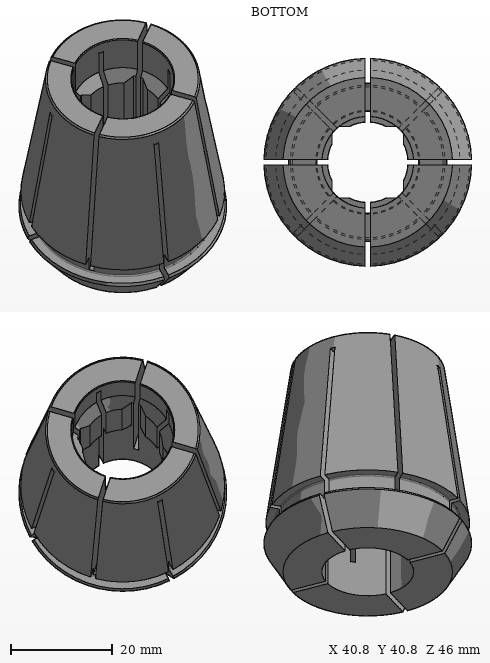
import cadquery as cq
import math


total_height = 46.0
top_edge_chamfer = 0.3

rim_radius = 20.4
rim_height = 6.55
nose_half_angle = 30.0
flange_top_height = 7.1
rim_chamfer_width = 0.35

groove_radius = 18.1
groove_top_height = 11.2
groove_fillet = 0.25

taper_base_radius = 20.0
taper_half_angle = 8.0

shank_hole_radius = 9.0
shank_hole_depth = 22.0
square_width = 14.0
drilled_radius = 7.87
upper_bore_radius = 10.0
upper_bore_floor = 37.2
seat_half_angle = 45.0
bore_edge_chamfer = 0.2

slit_width = 1.0
slit_length = 3 * rim_radius
lower_slit_top = 43.0
upper_slit_floor = 7.5


def make_body():
    nose_radius = rim_radius - rim_height * math.tan(math.radians(nose_half_angle))
    taper_height = total_height - groove_top_height
    top_radius = taper_base_radius - taper_height * math.tan(math.radians(taper_half_angle))
    chamfer_base_radius = top_radius + top_edge_chamfer * math.tan(math.radians(taper_half_angle))
    fillet_offset = groove_fillet * (1 - math.sqrt(0.5))
    profile = (
        cq.Workplane("XZ")
        .moveTo(0, 0)
        .lineTo(nose_radius, 0)
        .lineTo(rim_radius, rim_height)
        .lineTo(rim_radius - rim_chamfer_width, flange_top_height)
        .lineTo(groove_radius + groove_fillet, flange_top_height)
        .threePointArc(
            (groove_radius + fillet_offset, flange_top_height + fillet_offset),
            (groove_radius, flange_top_height + groove_fillet),
        )
        .lineTo(groove_radius, groove_top_height - groove_fillet)
        .threePointArc(
            (groove_radius + fillet_offset, groove_top_height - fillet_offset),
            (groove_radius + groove_fillet, groove_top_height),
        )
        .lineTo(taper_base_radius, groove_top_height)
        .lineTo(chamfer_base_radius, total_height - top_edge_chamfer)
        .lineTo(top_radius - top_edge_chamfer, total_height)
        .lineTo(0, total_height)
        .close()
    )
    return profile.revolve(360, (0, 0, 0), (0, 1, 0))


def make_upper_bore():
    """Upper bore with a chamfered mouth and a conical seat down to the drilled hole."""
    seat_depth = (upper_bore_radius - drilled_radius) / math.tan(math.radians(seat_half_angle))
    profile = (
        cq.Workplane("XZ")
        .moveTo(0, upper_bore_floor - seat_depth)
        .lineTo(drilled_radius, upper_bore_floor - seat_depth)
        .lineTo(upper_bore_radius, upper_bore_floor)
        .lineTo(upper_bore_radius, total_height - bore_edge_chamfer)
        .lineTo(upper_bore_radius + bore_edge_chamfer, total_height)
        .lineTo(0, total_height)
        .close()
    )
    return profile.revolve(360, (0, 0, 0), (0, 1, 0))


def make_square_drive():
    """Square socket above the shank hole, corners rounded to the hole radius, with its drilled core."""
    socket_length = upper_bore_floor - shank_hole_depth
    base = cq.Workplane("XY").workplane(offset=shank_hole_depth)
    socket = base.rect(square_width, square_width).extrude(socket_length)
    corner_limit = base.circle(shank_hole_radius).extrude(socket_length)
    core = base.circle(drilled_radius).extrude(socket_length)
    return socket.intersect(corner_limit).union(core)


def make_shank_hole():
    return cq.Workplane("XY").circle(shank_hole_radius).extrude(shank_hole_depth)


def make_cross_slits(bottom, top, start_angle):
    """Two slits crossing at right angles, each right across the body."""
    slits = cq.Workplane("XY")
    for angle in (start_angle, start_angle + 90):
        slit = (
            cq.Workplane("XY")
            .workplane(offset=bottom)
            .rect(slit_length, slit_width)
            .extrude(top - bottom)
            .rotate((0, 0, 0), (0, 0, 1), angle)
        )
        slits = slits.add(slit)
    return slits.combine()


result = (
    make_body()
    .cut(make_upper_bore())
    .cut(make_square_drive())
    .cut(make_shank_hole())
    .cut(make_cross_slits(0, lower_slit_top, 0))
    .cut(make_cross_slits(upper_slit_floor, total_height, 45))
)